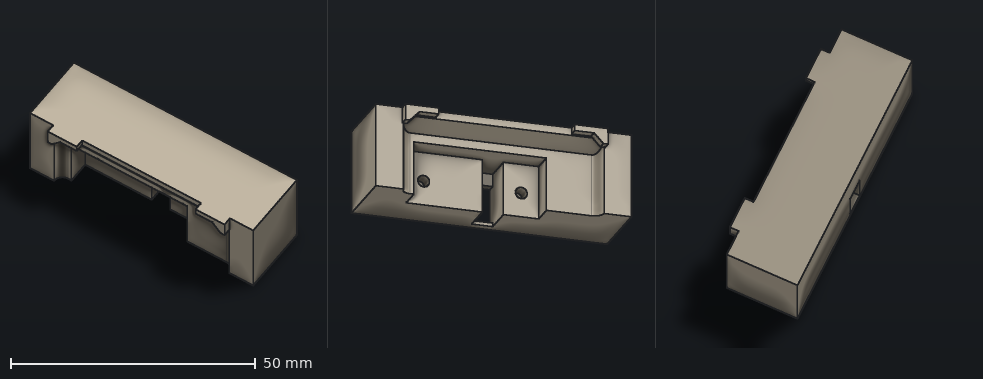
import cadquery as cq

length = 55.0
height = 18.0
overall_depth = 18.0
hook_reach = 2.0
body_depth = overall_depth - hook_reach

recess_depth = 2.05
recess_half_width = 21.55
lip_front_height = 1.7
lip_back_height = 4.6

hook_outer = 21.8
hook_width = 7.15
hook_height = 3.45
hook_arm_height = 1.4
hook_tip_width = 1.0
hook_slope_width = 2.05

pocket_width = 28.5
pocket_height = 11.5
pocket_depth = 5.0
pocket_center_x = -4.4
hole_diameter = 2.5
hole_depth = 3.3
hole_spacing = 21.0
hole_height = 5.2

slot_width = 4.5
rear_wall = 2.0
window_bottom = 0.8
window_top = 8.8

pocket_back = recess_depth + pocket_depth


def block(width, y_start, y_end, z_start, z_end, center_x=0):
    """Make a box centered on center_x between the given Y and Z limits."""
    return (
        cq.Workplane("XY")
        .box(width, y_end - y_start, z_end - z_start, centered=(True, False, False))
        .translate((center_x, y_start, z_start))
    )


def make_recess():
    """Rounded recess, trimmed on top by the sloping underside of the lip."""
    width = 2 * recess_half_width
    rounded = (
        cq.Workplane("XY")
        .moveTo(-recess_half_width, 0)
        .radiusArc((-recess_half_width + recess_depth, recess_depth), recess_depth)
        .lineTo(recess_half_width - recess_depth, recess_depth)
        .radiusArc((recess_half_width, 0), recess_depth)
        .close()
        .extrude(height)
    )
    under_lip = (
        cq.Workplane("YZ")
        .polyline([
            (0, 0),
            (recess_depth, 0),
            (recess_depth, height - lip_back_height),
            (0, height - lip_front_height),
        ])
        .close()
        .extrude(width / 2, both=True)
    )
    return rounded.intersect(under_lip)


def make_left_hook():
    """Hook with a long arm and a sloped drop to its outer tip."""
    tip_end = -hook_outer + hook_tip_width
    return (
        cq.Workplane("XZ")
        .polyline([
            (-hook_outer, height),
            (-hook_outer, height - hook_height),
            (tip_end, height - hook_height),
            (tip_end + hook_slope_width, height - hook_arm_height),
            (-hook_outer + hook_width, height - hook_arm_height),
            (-hook_outer + hook_width, height),
        ])
        .close()
        .extrude(hook_reach)
    )


def make_hole(x):
    """Blind hole running rearward from the pocket back face."""
    return (
        cq.Workplane("XZ", origin=(x, pocket_back, hole_height))
        .circle(hole_diameter / 2)
        .extrude(-hole_depth)
    )


pocket = block(pocket_width, 0, pocket_back, 0, pocket_height, pocket_center_x)
slot = block(slot_width, 0, body_depth - rear_wall, 0, pocket_height)
window = block(slot_width, 0, body_depth, window_bottom, window_top)

result = block(length, 0, body_depth, 0, height)
result = result.cut(make_recess()).cut(pocket).cut(slot).cut(window)
for side in (-1, 1):
    result = result.cut(make_hole(pocket_center_x + side * hole_spacing / 2))

left_hook = make_left_hook()
result = result.union(left_hook).union(left_hook.mirror("YZ"))